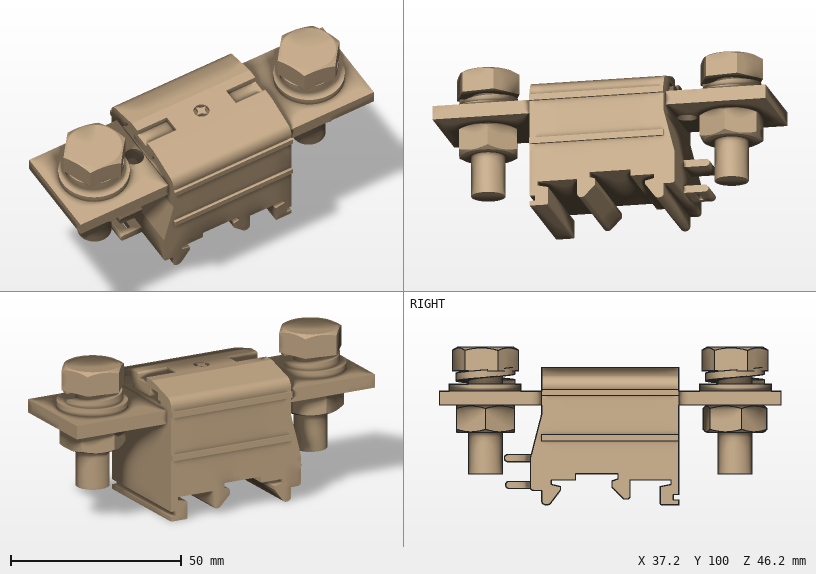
import cadquery as cq
import math


OVERLAP = 0.4

BODY_WIDTH = 35.5
BODY_LENGTH = 40.2
BODY_HEIGHT = 40.2
HALF_WIDTH = BODY_WIDTH / 2
HALF_LENGTH = BODY_LENGTH / 2
SKIRT_REACH = 3.3
SKIRT_TOP = 13.6
SKIRT_BOTTOM = 4.2
SLOPE_TOP = 26.45
SKIRT_RADIUS = 0.9
SKIRT_FRONT = -HALF_LENGTH - SKIRT_REACH

ROOF_FLAT_HALF = 6.2
EAVE_HEIGHT = 37.15
EAVE_RADIUS = 3.0

RIB_SPAN = 37.2
RIB_HEIGHT = 1.8
RIB_BOTTOMS = (18.75, 32.0)

RAIL_CEILING = 7.2
RELIEF_CEILING = 9.05
RELIEF_BACK = 2.2
RELIEF_FRONT = -10.1
FOOT_FRONT = 14.6
FOOT_LIP = 5.35
UNDERCUT_HEIGHT = 6.0
UNDERCUT_BACK = 17.75
FOOT_SLOT_BOTTOM = 1.45
FOOT_SLOT_TOP = 3.0
FOOT_SLOT_DEPTH = 1.6
MIDDLE_HOOK_BACK = 5.85
MIDDLE_HOOK_TIP = 0.45
MIDDLE_HOOK_BOTTOM = 1.65
MIDDLE_HOOK_FLAT = 1.9
MIDDLE_HOOK_BARB = 5.2
MIDDLE_HOOK_LIP = 7.0
MIDDLE_HOOK_NECK = 7.6
FRONT_HOOK_TIP = -14.55
FRONT_HOOK_BARB = 4.3
FRONT_HOOK_FLAT = 2.3
FRONT_UNDERCUT = -17.2
MIDDLE_HOOK_RADIUS = 1.0
FRONT_HOOK_RADIUS = 1.25
CORNER_RADIUS = 0.5

CAVITY_HALF_WIDTH = 9.9
CAVITY_FLOOR = 33.9
CAVITY_CEILING = 37.6
CAVITY_RADIUS = 0.8
SCALLOP_DIAMETER = 22.7
SCALLOP_TOP = 35.25
ROOF_BEAM_HALF_WIDTH = 5.0
ROOF_BEAM_BOTTOM = 35.1

NOTCH_LEFT = -2.9
NOTCH_RIGHT = 2.25
NOTCH_LENGTH = 10.0
NOTCH_DEPTH = 1.9
NOTCH_EDGE_RADIUS = 0.7
SCREW_DIAMETER = 4.7
SCREW_RECESS_DEPTH = 1.0
STAR_TIP_RADIUS = 2.1
STAR_NECK_RADIUS = 1.0
STAR_ANGLE = 23.0

BAR_LENGTH = 100.0
BAR_WIDTH = 29.3
BAR_BOTTOM = 29.2
BAR_THICKNESS = 4.1
BAR_TOP = BAR_BOTTOM + BAR_THICKNESS
TAP_HOLE_DIAMETER = 6.0
TAP_HOLE_Y = -HALF_LENGTH - TAP_HOLE_DIAMETER / 2

PIN_WIDTH = 10.1
PIN_THICKNESS = 2.15
UPPER_PIN_BOTTOM = 12.6
UPPER_PIN_TIP = -31.0
LOWER_PIN_BOTTOM = 4.75
LOWER_PIN_TIP = -30.65
PIN_SLOT_LENGTH = 6.6
PIN_SLOT_WIDTH = 1.2
PIN_SLOT_Y = -26.8

BOLT_Y = 36.5
BOLT_DIAMETER = 10.0
BOLT_BOTTOM = 9.0
ACROSS_FLATS = 17.0
HEAD_BOTTOM = 39.2
HEAD_HEIGHT = 7.0
HEAD_ANGLE = 22.0
NUT_HEIGHT = 8.1
FRONT_NUT_ANGLE = 0.0
BACK_NUT_ANGLE = 11.5
HEX_FACE_DIAMETER = 16.1
HEX_CHAMFER_ANGLE = 30.0
WASHER_DIAMETER = 21.0
WASHER_THICKNESS = 2.0
WASHER_SHIFT = 0.15
SPRING_DIAMETER = 17.4
SPRING_INNER_DIAMETER = BOLT_DIAMETER - OVERLAP
SPRING_THICKNESS = 2.2
SPRING_PITCH = 4.0
SPRING_BOTTOM = 34.3
SPRING_START_ANGLE = 90.0


def block(x_range, y_range, z_range):
    """Axis-aligned box given by its (low, high) limits."""
    (x0, x1), (y0, y1), (z0, z1) = x_range, y_range, z_range
    return cq.Workplane("XY").box(x1 - x0, y1 - y0, z1 - z0, centered=False).translate((x0, y0, z0))


def side_profile():
    """Housing outline in the YZ plane, extruded across the full width."""
    slot_floor = HALF_LENGTH - FOOT_SLOT_DEPTH
    outline = [
        (HALF_LENGTH, BODY_HEIGHT),
        (HALF_LENGTH, FOOT_SLOT_TOP),
        (slot_floor, FOOT_SLOT_TOP),
        (slot_floor, FOOT_SLOT_BOTTOM),
        (HALF_LENGTH, FOOT_SLOT_BOTTOM),
        (HALF_LENGTH, 0),
        (FOOT_FRONT, 0),
        (FOOT_FRONT, FOOT_LIP),
        (UNDERCUT_BACK, UNDERCUT_HEIGHT),
        (UNDERCUT_BACK, RAIL_CEILING),
        (MIDDLE_HOOK_BACK, RAIL_CEILING),
        (MIDDLE_HOOK_BACK, MIDDLE_HOOK_BOTTOM),
        (MIDDLE_HOOK_BACK - MIDDLE_HOOK_FLAT, MIDDLE_HOOK_BOTTOM),
        (MIDDLE_HOOK_TIP, MIDDLE_HOOK_BARB),
        (MIDDLE_HOOK_TIP, MIDDLE_HOOK_LIP),
        (RELIEF_BACK, MIDDLE_HOOK_NECK),
        (RELIEF_BACK, RELIEF_CEILING),
        (RELIEF_FRONT, RELIEF_CEILING),
        (RELIEF_FRONT, RAIL_CEILING),
        (FRONT_UNDERCUT, RAIL_CEILING),
        (FRONT_UNDERCUT, UNDERCUT_HEIGHT),
        (FRONT_HOOK_TIP, FOOT_LIP),
        (FRONT_HOOK_TIP, FRONT_HOOK_BARB),
        (-HALF_LENGTH + FRONT_HOOK_FLAT, 0),
        (-HALF_LENGTH, 0),
        (-HALF_LENGTH, SKIRT_BOTTOM),
        (SKIRT_FRONT, SKIRT_BOTTOM),
        (SKIRT_FRONT, SKIRT_TOP),
        (-HALF_LENGTH, SLOPE_TOP),
        (-HALF_LENGTH, BODY_HEIGHT),
    ]
    solid = cq.Workplane("YZ").polyline(outline).close().extrude(HALF_WIDTH, both=True)

    rounded_corners = [
        (FOOT_FRONT, 0, CORNER_RADIUS),
        (SKIRT_FRONT, SKIRT_BOTTOM, SKIRT_RADIUS),
        (MIDDLE_HOOK_TIP, MIDDLE_HOOK_LIP, CORNER_RADIUS),
        (MIDDLE_HOOK_BACK, MIDDLE_HOOK_BOTTOM, MIDDLE_HOOK_RADIUS),
        (MIDDLE_HOOK_BACK - MIDDLE_HOOK_FLAT, MIDDLE_HOOK_BOTTOM, MIDDLE_HOOK_RADIUS),
        (-HALF_LENGTH, 0, FRONT_HOOK_RADIUS),
        (-HALF_LENGTH + FRONT_HOOK_FLAT, 0, FRONT_HOOK_RADIUS),
    ]
    for y, z, radius in rounded_corners:
        edge = cq.selectors.NearestToPointSelector((0, y, z))
        solid = solid.edges("|X").edges(edge).fillet(radius)
    return solid


def roof_envelope():
    """Cross-section with sloped roof and rounded eaves, long enough to cover the housing."""
    section = [
        (-HALF_WIDTH, 0),
        (-HALF_WIDTH, EAVE_HEIGHT),
        (-ROOF_FLAT_HALF, BODY_HEIGHT),
        (ROOF_FLAT_HALF, BODY_HEIGHT),
        (HALF_WIDTH, EAVE_HEIGHT),
        (HALF_WIDTH, 0),
    ]
    envelope = cq.Workplane("XZ").polyline(section).close().extrude(BODY_LENGTH, both=True)
    for x in (-HALF_WIDTH, HALF_WIDTH):
        edge = cq.selectors.NearestToPointSelector((x, 0, EAVE_HEIGHT))
        envelope = envelope.edges("|Y").edges(edge).fillet(EAVE_RADIUS)
    return envelope


def cavity():
    """Tunnel above the bar, leaving a beam hanging in the middle of the roof."""
    along = (-HALF_LENGTH, HALF_LENGTH)
    tunnel = block((-CAVITY_HALF_WIDTH, CAVITY_HALF_WIDTH), along, (CAVITY_FLOOR, CAVITY_CEILING))
    tunnel = tunnel.edges("|Y and >Z").fillet(CAVITY_RADIUS)
    for y in along:
        scallop = cq.Workplane("XY", origin=(0, y, CAVITY_FLOOR)).circle(SCALLOP_DIAMETER / 2)
        tunnel = tunnel.union(scallop.extrude(SCALLOP_TOP - CAVITY_FLOOR))
    beam = block(
        (-ROOF_BEAM_HALF_WIDTH, ROOF_BEAM_HALF_WIDTH), along, (ROOF_BEAM_BOTTOM, CAVITY_CEILING)
    )
    return tunnel.cut(beam)


def roof_notch(end):
    """Open-ended roof notch at end = +1 (back) or -1 (front), one edge rounded."""
    floor = BODY_HEIGHT - NOTCH_DEPTH
    round_x = NOTCH_RIGHT + NOTCH_EDGE_RADIUS
    diagonal = NOTCH_EDGE_RADIUS * math.sqrt(0.5)
    round_z = BODY_HEIGHT - NOTCH_EDGE_RADIUS
    section = (
        cq.Workplane("XZ")
        .moveTo(NOTCH_LEFT, BODY_HEIGHT)
        .lineTo(NOTCH_LEFT, floor)
        .lineTo(NOTCH_RIGHT, floor)
        .lineTo(NOTCH_RIGHT, round_z)
        .threePointArc((round_x - diagonal, round_z + diagonal), (round_x, BODY_HEIGHT))
        .close()
    )
    notch = section.extrude(NOTCH_LENGTH / 2, both=True)
    return notch.translate((0, end * (HALF_LENGTH - NOTCH_LENGTH / 2), 0))


def screw_recess():
    """Round recess around the four-pointed star on top of the middle screw."""
    points = []
    for corner in range(8):
        radius = STAR_TIP_RADIUS if corner % 2 == 0 else STAR_NECK_RADIUS
        angle = math.radians(STAR_ANGLE + 45 * corner)
        points.append((radius * math.cos(angle), radius * math.sin(angle)))
    plane = cq.Workplane("XY").workplane(offset=BODY_HEIGHT - SCREW_RECESS_DEPTH)
    star = plane.polyline(points).close().extrude(SCREW_RECESS_DEPTH)
    return plane.circle(SCREW_DIAMETER / 2).extrude(SCREW_RECESS_DEPTH).cut(star)


def housing():
    body = side_profile().intersect(roof_envelope())
    for bottom in RIB_BOTTOMS:
        rib = block(
            (-RIB_SPAN / 2, RIB_SPAN / 2), (-HALF_LENGTH, HALF_LENGTH), (bottom, bottom + RIB_HEIGHT)
        )
        body = body.union(rib)
    body = body.cut(cavity()).cut(screw_recess())
    for end in (-1, 1):
        body = body.cut(roof_notch(end))
    return body


def busbar():
    bar = block(
        (-BAR_WIDTH / 2, BAR_WIDTH / 2), (-BAR_LENGTH / 2, BAR_LENGTH / 2), (BAR_BOTTOM, BAR_TOP)
    )
    hole = cq.Workplane("XY").center(0, TAP_HOLE_Y).circle(TAP_HOLE_DIAMETER / 2).extrude(BODY_HEIGHT)
    return bar.cut(hole)


def pin(bottom, tip):
    """Flat contact pin with a half-round tip, sticking out of the housing front."""
    radius = PIN_THICKNESS / 2
    root = SKIRT_FRONT + OVERLAP
    top = bottom + PIN_THICKNESS
    section = (
        cq.Workplane("YZ")
        .moveTo(root, bottom)
        .lineTo(tip + radius, bottom)
        .threePointArc((tip, bottom + radius), (tip + radius, top))
        .lineTo(root, top)
        .close()
    )
    return section.extrude(PIN_WIDTH / 2, both=True)


def slotted_pin():
    slot = (
        cq.Workplane("XY")
        .center(0, PIN_SLOT_Y)
        .slot2D(PIN_SLOT_LENGTH, PIN_SLOT_WIDTH)
        .extrude(LOWER_PIN_BOTTOM + PIN_THICKNESS)
    )
    return pin(LOWER_PIN_BOTTOM, LOWER_PIN_TIP).cut(slot)


def hexagon(bottom, height, angle, chamfer_bottom):
    """Hexagon prism on the Z axis; conical chamfer on top and, if asked, underneath."""
    corner_radius = ACROSS_FLATS / math.sqrt(3)
    face_radius = HEX_FACE_DIAMETER / 2
    drop = (corner_radius - face_radius) * math.tan(math.radians(HEX_CHAMFER_ANGLE))
    prism = cq.Workplane("XY").polygon(6, 2 * corner_radius).extrude(height)
    turned = [(0, 0)]
    if chamfer_bottom:
        turned += [(face_radius, 0), (corner_radius, drop)]
    else:
        turned += [(corner_radius, 0)]
    turned += [(corner_radius, height - drop), (face_radius, height), (0, height)]
    envelope = cq.Workplane("XZ").polyline(turned).close().revolve(360, (0, 0, 0), (0, 1, 0))
    return prism.intersect(envelope).rotate((0, 0, 0), (0, 0, 1), angle).translate((0, 0, bottom))


def spring_washer():
    """One helical turn of rectangular section between the flat washer and the bolt head."""
    inner = SPRING_INNER_DIAMETER / 2
    outer = SPRING_DIAMETER / 2
    helix = cq.Wire.makeHelix(SPRING_PITCH, SPRING_PITCH, (inner + outer) / 2)
    section = cq.Workplane("XZ").moveTo(inner, 0).lineTo(outer, 0)
    section = section.lineTo(outer, SPRING_THICKNESS).lineTo(inner, SPRING_THICKNESS).close()
    turn = section.sweep(cq.Workplane(obj=helix), isFrenet=True)
    return turn.rotate((0, 0, 0), (0, 0, 1), SPRING_START_ANGLE).translate((0, 0, SPRING_BOTTOM))


def bolted_joint(end, nut_angle):
    """Bolt, spring washer, flat washer and nut at end = +1 (back) or -1 (front)."""
    shank = cq.Workplane("XY").workplane(offset=BOLT_BOTTOM).circle(BOLT_DIAMETER / 2)
    shank = shank.extrude(HEAD_BOTTOM - BOLT_BOTTOM)
    head = hexagon(HEAD_BOTTOM, HEAD_HEIGHT, HEAD_ANGLE, chamfer_bottom=False)
    nut = hexagon(BAR_BOTTOM - NUT_HEIGHT, NUT_HEIGHT, nut_angle, chamfer_bottom=True)
    washer = cq.Workplane("XY", origin=(0, end * WASHER_SHIFT, BAR_TOP))
    washer = washer.circle(WASHER_DIAMETER / 2).extrude(WASHER_THICKNESS)
    joint = shank.union(head).union(nut).union(washer).union(spring_washer())
    return joint.translate((0, end * BOLT_Y, 0))


result = (
    housing()
    .union(busbar())
    .union(pin(UPPER_PIN_BOTTOM, UPPER_PIN_TIP))
    .union(slotted_pin())
    .union(bolted_joint(-1, FRONT_NUT_ANGLE))
    .union(bolted_joint(1, BACK_NUT_ANGLE))
)